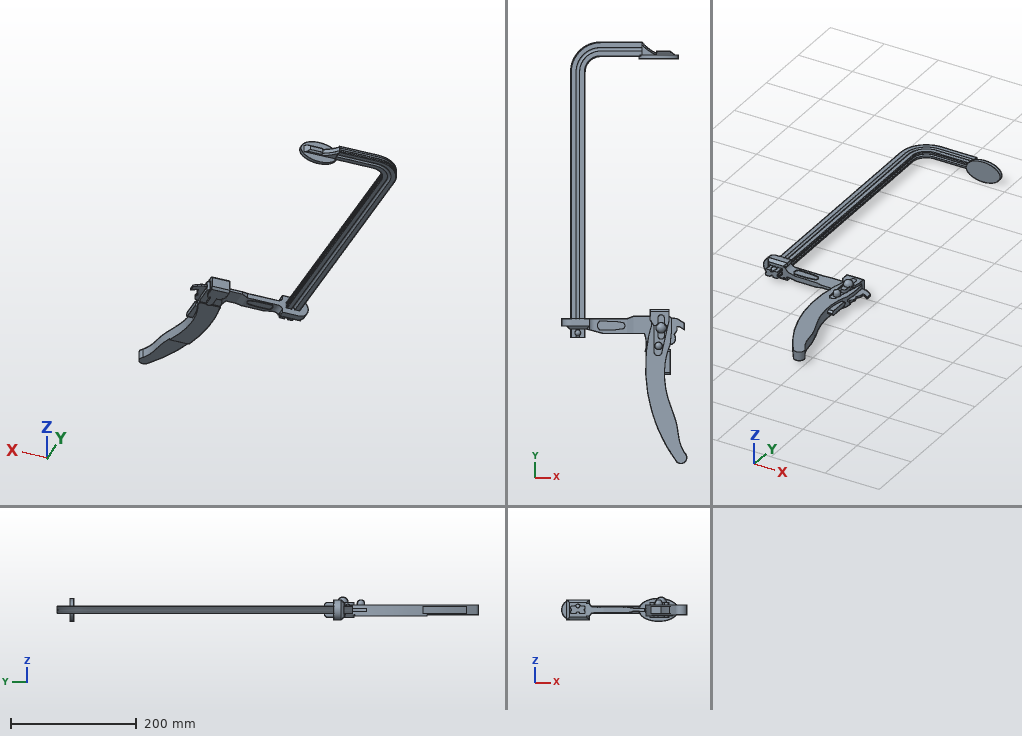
import cadquery as cq
import math

bar_width = 23.5
bar_half_height = 6.0
bar_chamfer = 1.5
face_groove_radius = 2.8
side_groove_radius = 1.7
bar_left = 14.0
bar_axis_x = bar_left + bar_width / 2
bar_bottom_y = 201.0
bar_top_y = 672.0
bar_end_x = 127.5
bend_radius = 36.0
stud_y, stud_z, stud_radius = 208.0, 4.0, 5.05

foot_center_x = 154.5
foot_radius_x = 31.5
foot_height = 37.0
foot_face_y = 645.0
foot_thickness = 6.0
foot_mid_y = foot_face_y + foot_thickness / 2
neck_chamfer = 3.0
neck_low_y = 654.0
pedestal_left, pedestal_right = 151.0, 173.0
pedestal_top_y = 657.0
pedestal_foot_right = 181.0
pedestal_chamfer = 3.0

collar_radius = 16.0
collar_right = 44.5
collar_bottom_y = 219.0
collar_top_y = 231.0
lip_height = 5.0
lip_left = 8.0
lip_draft = 45

arm_half = 4.4
arm_root_half = 10.0
arm_flare_end = 54.0
arm_ramp_start, arm_ramp_end = 105.0, 115.0
arm_tip_half = 2.35
arm_bottom_y = 207.0
arm_bend_x = 67.0
arm_top_y = 235.0
arm_end_x = 148.0
arm_pocket_depth = 1.5

handle_half = 8.0
tip_x, tip_radius = 190.0, 9.5
handle_head_left, handle_head_right = 143.0, 175.0
handle_head_top = 236.5
handle_head_bevel = 5.0
belly_drop = 2.0
belly_bottom_y, belly_top_y = 82.0, 197.5
grip_bottom_y, grip_top_y = 19.5, 89.0
grip_half_height = 5.7
grip_depth = 16.0
rib_bottom_y = 179.0
recess_depth = 2.0
recess_left, recess_right = 147.0, 169.0
recess_floor_z = handle_half - recess_depth

block_half = 12.0
block_left, block_right = 141.0, 171.0
block_top_y = 246.0
block_shoulder_y = 228.5
block_bottom_y = 220.0
block_chamfer = 3.7

slider_x = 158.5
slider_width = 10.0
slider_bottom_y, slider_top_y = 198.0, 237.0
knob_y, knob_diameter = 216.5, 17.0
knob_radius = knob_diameter / 2

screw_x, screw_y, screw_radius = 154.5, 187.5, 6.0
screw_rim_z = 10.0

trigger_half = 1.7
button_half = 4.0
button_left, button_right = 161.0, 173.5
button_bottom_y, button_top_y = 142.0, 182.0
button_chamfer = 3.5


def slab(outline, z_low, z_high):
    """Extrude a closed XY outline between two heights."""
    return outline.extrude(z_high - z_low).translate((0, 0, z_low))


def block_between(low, high):
    """Box between two opposite corners."""
    size = [b - a for a, b in zip(low, high)]
    return cq.Workplane("XY").box(*size, centered=False).translate(low)


def make_bar():
    inner_end = bar_top_y - bar_width / 2
    bend_mid = bend_radius * (1 - math.sqrt(0.5))
    path = (
        cq.Workplane("XY")
        .moveTo(bar_axis_x, bar_bottom_y)
        .lineTo(bar_axis_x, inner_end - bend_radius)
        .threePointArc(
            (bar_axis_x + bend_mid, inner_end - bend_mid),
            (bar_axis_x + bend_radius, inner_end),
        )
        .lineTo(bar_end_x, inner_end)
    )
    profile = (
        cq.Sketch()
        .rect(bar_width, 2 * bar_half_height)
        .vertices()
        .chamfer(bar_chamfer)
        .reset()
        .push([(0, bar_half_height), (0, -bar_half_height)])
        .circle(face_groove_radius, mode="s")
        .reset()
        .push([(bar_width / 2, 0), (-bar_width / 2, 0)])
        .circle(side_groove_radius, mode="s")
    )
    start = cq.Workplane("XZ", origin=(bar_axis_x, bar_bottom_y, 0))
    rail = start.placeSketch(profile).sweep(path)
    stop_stud = cq.Workplane("XY").sphere(stud_radius).translate((bar_axis_x, stud_y, stud_z))
    return rail.union(stop_stud)


def make_foot():
    back_y = foot_face_y + foot_thickness
    disc = (
        cq.Workplane("XZ", origin=(foot_center_x, back_y, 0))
        .ellipse(foot_radius_x, foot_height / 2)
        .extrude(foot_thickness)
    )
    neck = (
        cq.Workplane("XY")
        .moveTo(bar_end_x, foot_mid_y)
        .lineTo(bar_end_x, bar_top_y)
        .threePointArc((137.0, 662.5), (pedestal_left, neck_low_y))
        .lineTo(pedestal_left, foot_mid_y)
        .close()
    )
    pedestal = (
        cq.Workplane("XY")
        .moveTo(pedestal_left, foot_mid_y)
        .lineTo(pedestal_left, pedestal_top_y)
        .lineTo(pedestal_right, pedestal_top_y)
        .lineTo(pedestal_foot_right, back_y)
        .lineTo(pedestal_foot_right, foot_mid_y)
        .close()
    )
    pedestal = slab(pedestal, -bar_half_height, bar_half_height)
    pedestal = pedestal.faces(">Y").edges("|X").chamfer(pedestal_chamfer)
    neck = slab(neck, -bar_half_height, bar_half_height)
    neck = neck.edges("%CIRCLE").chamfer(neck_chamfer)
    return disc.union(neck).union(pedestal)


def make_collar():
    ring = (
        cq.Workplane("XZ", origin=(0, collar_top_y, 0))
        .moveTo(collar_radius, collar_radius)
        .lineTo(collar_right, collar_radius)
        .lineTo(collar_right, -collar_radius)
        .lineTo(collar_radius, -collar_radius)
        .threePointArc((0, 0), (collar_radius, collar_radius))
        .close()
        .extrude(collar_top_y - collar_bottom_y)
    )
    lip = (
        cq.Workplane("XZ", origin=((lip_left + collar_right) / 2, collar_bottom_y, 0))
        .rect(collar_right - lip_left, 2 * collar_radius)
        .extrude(lip_height, taper=lip_draft)
    )
    return ring.union(lip)


def make_arm():
    plan = (
        cq.Workplane("XY")
        .moveTo(collar_right - lip_height, collar_top_y)
        .lineTo(arm_ramp_start, collar_top_y)
        .lineTo(arm_ramp_end, arm_top_y)
        .lineTo(arm_end_x, arm_top_y)
        .lineTo(arm_end_x, arm_bottom_y)
        .lineTo(arm_bend_x, arm_bottom_y)
        .lineTo(collar_right - lip_height, collar_bottom_y - lip_height)
        .close()
    )
    flare_mid = (48.0, 6.0)
    thickness = (
        cq.Workplane("XZ", origin=(0, arm_top_y, 0))
        .moveTo(collar_right - lip_height, arm_root_half)
        .lineTo(collar_right, arm_root_half)
        .threePointArc(flare_mid, (arm_flare_end, arm_half))
        .lineTo(arm_ramp_start, arm_half)
        .lineTo(arm_ramp_end, arm_tip_half)
        .lineTo(arm_end_x, arm_tip_half)
        .lineTo(arm_end_x, 0)
        .lineTo(collar_right - lip_height, 0)
        .close()
        .extrude(arm_top_y - arm_bottom_y)
    )
    arm = slab(plan, -arm_root_half, arm_root_half).intersect(thickness.union(thickness.mirror("XY")))
    pocket_plan = (
        cq.Workplane("XY")
        .moveTo(61.0, 227.0)
        .lineTo(87.5, 226.5)
        .lineTo(99.0, 224.5)
        .threePointArc((101.0, 220.5), (99.0, 215.0))
        .lineTo(84.0, 213.0)
        .lineTo(61.0, 213.0)
        .threePointArc((57.0, 220.5), (61.0, 227.0))
        .close()
    )
    pocket = slab(pocket_plan, arm_half - arm_pocket_depth, arm_root_half)
    return arm.cut(pocket).cut(pocket.mirror("XY"))


def handle_outline():
    trigger_side = [(187.5, 38.0), (184.0, 60.0), (170.0, 103.0), (164.0, 146.0), (173.0, 188.0)]
    tip_start, tip_end = math.radians(220), math.radians(50)
    tip_middle = (tip_start + tip_end) / 2 + math.pi

    def tip_point(angle):
        return (tip_x + tip_radius * math.cos(angle), tip_radius * (1 + math.sin(angle)))

    return (
        cq.Workplane("XY")
        .moveTo(handle_head_left, handle_head_top)
        .lineTo(handle_head_left, 219.0)
        .lineTo(139.0, 205.5)
        .threePointArc((134.0, 152.5), tip_point(tip_start))
        .threePointArc(tip_point(tip_middle), tip_point(tip_end))
        .spline(trigger_side, includeCurrent=True)
        .lineTo(handle_head_right, arm_bottom_y)
        .lineTo(handle_head_right, handle_head_top - handle_head_bevel)
        .lineTo(handle_head_right - handle_head_bevel, handle_head_top)
        .close()
    )


def handle_band(y_low, y_high, half_height):
    """Box spanning the whole handle in X between two Y positions."""
    return block_between(
        (arm_ramp_start, y_low, -half_height), (tip_x + tip_radius, y_high, half_height)
    )


def make_handle():
    handle = slab(handle_outline(), -handle_half, handle_half)
    belly = slab(handle_outline(), -handle_half - belly_drop, -handle_half)
    belly = belly.intersect(handle_band(belly_bottom_y, belly_top_y, 2 * handle_half))
    groove = handle_band(grip_bottom_y, grip_top_y, grip_half_height)
    groove = groove.cut(handle.translate((grip_depth, 0, 0)))
    return handle.union(belly).cut(groove)


def make_corner_rib():
    outline = (
        cq.Workplane("XY")
        .moveTo(132.0, arm_bottom_y)
        .threePointArc((134.5, 196.0), (133.0, rib_bottom_y))
        .lineTo(handle_head_left, rib_bottom_y)
        .lineTo(handle_head_left, arm_bottom_y)
        .close()
    )
    return slab(outline, -arm_tip_half, arm_tip_half)


def make_top_recess():
    outline = (
        cq.Workplane("XY")
        .moveTo(recess_left, block_bottom_y)
        .lineTo(recess_left, 177.5)
        .threePointArc((153.0, 172.0), (160.0, 178.0))
        .lineTo(recess_right, block_bottom_y)
        .close()
    )
    return slab(outline, recess_floor_z, handle_half)


def slider_plate(z_low, z_high):
    length = slider_top_y - slider_bottom_y
    middle_y = (slider_top_y + slider_bottom_y) / 2
    outline = cq.Workplane("XY").center(slider_x, middle_y).slot2D(length, slider_width, 90)
    return slab(outline, z_low, z_high)


def make_head_block():
    outline = (
        cq.Workplane("XY")
        .moveTo(block_left, block_top_y)
        .lineTo(block_right, block_top_y)
        .lineTo(block_right, block_shoulder_y)
        .lineTo(recess_right, block_bottom_y)
        .lineTo(recess_left, block_bottom_y)
        .lineTo(block_left, block_shoulder_y)
        .close()
    )
    block = slab(outline, -block_half, block_half)
    block = block.faces(">Y").edges("|X").chamfer(block_chamfer)
    tongue = slider_plate(-block_half, -handle_half)
    return block.union(tongue)


def make_slider():
    knob = cq.Workplane("XY").sphere(knob_radius)
    knob = knob.intersect(block_between((-knob_radius, -knob_radius, 0), (knob_radius,) * 3))
    knob = knob.translate((slider_x, knob_y, block_half))
    return slider_plate(recess_floor_z, block_half).union(knob)


def make_screw():
    return (
        cq.Workplane("XZ")
        .moveTo(0, recess_floor_z)
        .lineTo(screw_radius, recess_floor_z)
        .lineTo(screw_radius, screw_rim_z)
        .radiusArc((0, screw_rim_z + screw_radius), -screw_radius)
        .close()
        .revolve(360, (0, 0, 0), (0, 1, 0))
        .translate((screw_x, screw_y, 0))
    )


def make_trigger():
    outline = (
        cq.Workplane("XY")
        .moveTo(173.0, 232.5)
        .lineTo(184.0, 231.0)
        .lineTo(195.5, 224.0)
        .lineTo(195.5, 213.0)
        .lineTo(188.0, 218.0)
        .lineTo(184.0, 218.5)
        .lineTo(184.0, 212.0)
        .lineTo(179.5, 205.5)
        .threePointArc((181.5, 197.5), (179.5, 193.0))
        .lineTo(176.0, 190.0)
        .lineTo(172.0, 190.0)
        .close()
    )
    return slab(outline, -trigger_half, trigger_half)


def make_button():
    button = block_between(
        (button_left, button_bottom_y, -button_half), (button_right, button_top_y, button_half)
    )
    return button.edges("|X").chamfer(button_chamfer)


bar = make_bar()
slider = make_slider()
foot = make_foot().cut(bar)
frame = make_collar().union(make_arm()).union(make_handle()).union(make_corner_rib())
frame = frame.cut(make_top_recess()).cut(bar).cut(slider)
head_block = make_head_block().cut(frame).cut(slider)
screw = make_screw()
trigger = make_trigger().cut(frame).cut(head_block)
button = make_button().cut(frame)

result = cq.Compound.makeCompound(
    [body.solids().val() for body in (bar, foot, frame, head_block, slider, screw, trigger, button)]
)